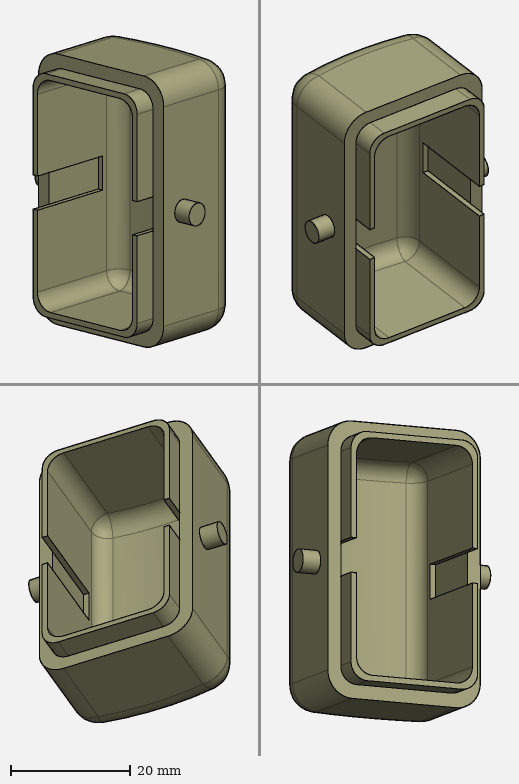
import cadquery as cq

body_width = 28.45
body_height = 47.4
body_depth = 19.0
body_radius = 4.5
crown_radius = 60.0

lip_inset = 2.4
lip_length = 4.0
lip_wall = 1.0
lip_radius = 3.0
lip_width = body_width - 2 * lip_inset
lip_height = body_height - 2 * lip_inset

back_wall = 2.2
cavity_width = lip_width - 2 * lip_wall
cavity_height = lip_height - 2 * lip_wall
cavity_radius = 3.0
cavity_end = body_depth - back_wall

notch_height = 5.95
notch_end = 12.3

pin_diameter = 4.0
pin_span = 35.0
pin_y = 4.75


def crowned_block(width, height, start, end, arc_radius, round_radius):
    """Block along Y with rounded corners and a rounded, cylindrically crowned back."""
    half_width = width / 2
    shoulder = end - arc_radius + (arc_radius**2 - half_width**2) ** 0.5
    block = (
        cq.Workplane("XY")
        .moveTo(-half_width, start)
        .lineTo(-half_width, shoulder)
        .threePointArc((0, end), (half_width, shoulder))
        .lineTo(half_width, start)
        .close()
        .extrude(height / 2, both=True)
    )
    block = block.edges("|Y").fillet(round_radius)
    return block.faces(">Y").edges().fillet(round_radius)


def make_lip():
    lip = cq.Workplane("XY").box(lip_width, lip_length, lip_height)
    return lip.edges("|Y").fillet(lip_radius).translate((0, -lip_length / 2, 0))


def make_notch():
    notch_length = lip_length + notch_end
    notch = cq.Workplane("XY").box(lip_width, notch_length, notch_height)
    return notch.translate((0, notch_end - notch_length / 2, 0))


def make_pins():
    """One bar across the body; the cavity cut leaves a pin on each side."""
    pins = cq.Workplane("YZ").center(pin_y, 0).circle(pin_diameter / 2)
    return pins.extrude(pin_span / 2, both=True)


body = crowned_block(body_width, body_height, 0, body_depth, crown_radius, body_radius)
cavity = crowned_block(
    cavity_width, cavity_height, -lip_length, cavity_end, crown_radius - back_wall, cavity_radius
)

result = body.union(make_lip()).union(make_pins()).cut(cavity).cut(make_notch())